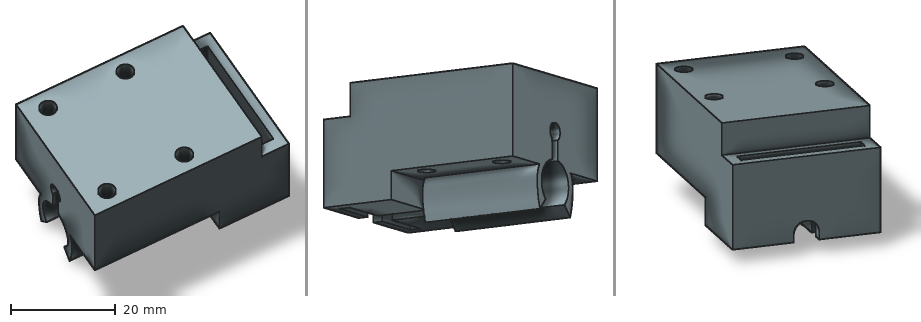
import cadquery as cq
import math

width = 30.0
length = 42.75
height = 26.68
block_bottom = height - 23.65
shelf_length = 6.0
shelf_drop = 6.5
notch_length = 27.45
notch_ceiling = height - 18.05

clip_length = 25.9
axis_z = height - 21.08
bore_radius = 4.8
arm_outer_radius = 6.33
tip_half_gap = 5.4
relief_radius = 5.35

keyhole_diameter = 3.55
keyhole_z = height - 10.9
stem_width = 2.0

passage_width = 5.15
passage_axis_z = height - 22.1

hole_diameter = 3.4
hole_spacing_x = 22.45
hole_front_y = 4.87
hole_spacing_y = 17.0
slot_width = 25.05
slot_depth = 2.3
slot_rear_wall = 2.0


def along_y(start, end):
    """XZ sketch plane at Y = start and the distance that extrudes it to Y = end."""
    return cq.Workplane("XZ", origin=(0, start, 0)), start - end


def make_block():
    side_outline = [
        (0, notch_ceiling),
        (0, height),
        (length - shelf_length, height),
        (length - shelf_length, height - shelf_drop),
        (length, height - shelf_drop),
        (length, block_bottom),
        (notch_length, block_bottom),
        (notch_length, notch_ceiling),
    ]
    return cq.Workplane("YZ").polyline(side_outline).close().extrude(width / 2, both=True)


def make_clip_arm(side):
    """One arm before boring: circular above the bore axis, a flatter tangent arc down to the tip."""
    inset = arm_outer_radius - tip_half_gap
    lower_radius = (axis_z ** 2 + inset ** 2) / (2 * inset)
    mid_z = axis_z / 2
    mid_x = arm_outer_radius - lower_radius + math.sqrt(lower_radius ** 2 - mid_z ** 2)

    root_angle = math.asin((notch_ceiling - axis_z) / arm_outer_radius)
    root_x = arm_outer_radius * math.cos(root_angle)
    upper_mid_x = arm_outer_radius * math.cos(root_angle / 2)
    upper_mid_z = axis_z + arm_outer_radius * math.sin(root_angle / 2)

    plane, distance = along_y(0, clip_length)
    return (
        plane.moveTo(0, axis_z)
        .lineTo(side * tip_half_gap, 0)
        .threePointArc((side * mid_x, mid_z), (side * arm_outer_radius, axis_z))
        .threePointArc((side * upper_mid_x, upper_mid_z), (side * root_x, notch_ceiling))
        .lineTo(0, notch_ceiling)
        .close()
        .extrude(distance)
    )


def cut_cylinder(diameter, center_z, start, end):
    plane, distance = along_y(start, end)
    return plane.center(0, center_z).circle(diameter / 2).extrude(distance)


def make_keyhole():
    stem_height = keyhole_z - axis_z
    plane, distance = along_y(0, clip_length)
    stem = plane.center(0, axis_z + stem_height / 2).rect(stem_width, stem_height).extrude(distance)
    return stem.union(cut_cylinder(keyhole_diameter, keyhole_z, 0, clip_length))


def make_passage():
    plane, distance = along_y(notch_length, length)
    lower = plane.center(0, passage_axis_z / 2).rect(passage_width, passage_axis_z).extrude(distance)
    return lower.union(cut_cylinder(passage_width, passage_axis_z, notch_length, length))


def make_mounting_holes():
    centers = [
        (side * hole_spacing_x / 2, hole_front_y + row * hole_spacing_y)
        for side in (-1, 1)
        for row in (0, 1)
    ]
    return cq.Workplane("XY").pushPoints(centers).circle(hole_diameter / 2).extrude(height)


def make_rear_slot():
    center_y = length - slot_rear_wall - slot_depth / 2
    return cq.Workplane("XY").center(0, center_y).rect(slot_width, slot_depth).extrude(height)


result = make_block()
for side in (-1, 1):
    result = result.union(make_clip_arm(side))
openings = (
    cut_cylinder(2 * bore_radius, axis_z, 0, clip_length),
    cut_cylinder(2 * relief_radius, axis_z, clip_length, notch_length),
    make_keyhole(),
    make_passage(),
    make_mounting_holes(),
    make_rear_slot(),
)
for opening in openings:
    result = result.cut(opening)